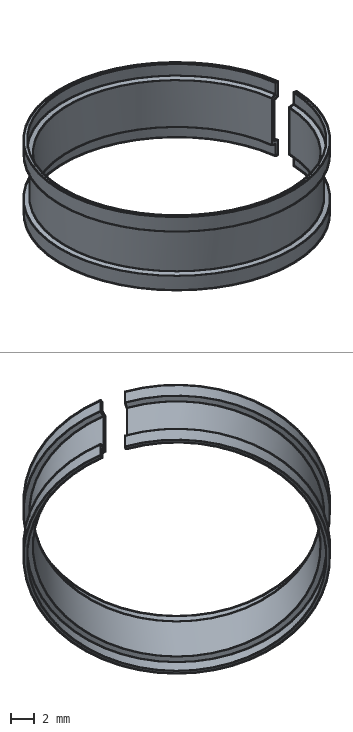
import cadquery as cq
import math

outer_radius = 12.84
height = 7.1
wall = 0.3
band_inset = 0.5
rim_height = 1.4
web_thickness = 0.28
web_rise = 0.15
gap_angle = 10.0

rim_inner_radius = outer_radius - wall
band_outer_radius = outer_radius - band_inset
band_inner_radius = band_outer_radius - wall
rim_inner_height = rim_height - web_thickness
band_outer_start = rim_height + web_rise
band_inner_start = rim_inner_height + web_rise

outer_side = [
    (outer_radius, 0),
    (outer_radius, rim_height),
    (band_outer_radius, band_outer_start),
    (band_outer_radius, height - band_outer_start),
    (outer_radius, height - rim_height),
    (outer_radius, height),
]
inner_side = [
    (rim_inner_radius, height),
    (rim_inner_radius, height - rim_inner_height),
    (band_inner_radius, height - band_inner_start),
    (band_inner_radius, band_inner_start),
    (rim_inner_radius, rim_inner_height),
    (rim_inner_radius, 0),
]
profile = cq.Workplane("XZ").polyline(outer_side + inner_side).close()
ring = profile.revolve(360, (0, 0, 0), (0, 1, 0))

wedge_length = 1.2 * outer_radius
wedge_half_width = wedge_length * math.tan(math.radians(gap_angle / 2))
gap_wedge = (
    cq.Workplane("XY")
    .polyline([(0, 0), (wedge_half_width, wedge_length), (-wedge_half_width, wedge_length)])
    .close()
    .extrude(height)
)

result = ring.cut(gap_wedge)